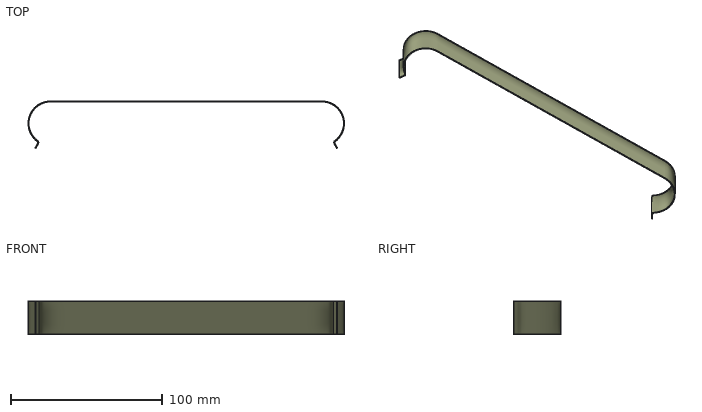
import cadquery as cq
import math

length = 209.5
depth = 31.5
height = 22.0

thickness = 0.6
end_radius = 14.9
curl_past_side = 54.0
lip_radius = 0.8
lip_angle = 30.0

curl_center = (end_radius - length / 2, -end_radius)


def polar(center, radius, degrees):
    """Point at a given radius and angle around a center."""
    angle = math.radians(degrees)
    return (center[0] + radius * math.cos(angle), center[1] + radius * math.sin(angle))


curl_end = 180 + curl_past_side
curl_middle = (90 + curl_end) / 2
lip_center = polar(curl_center, end_radius + lip_radius, curl_end)

bend_start = curl_past_side
bend_end = -lip_angle
bend_middle = (bend_start + bend_end) / 2

inner_bend_radius = lip_radius + thickness
inner_lip_start = polar(lip_center, inner_bend_radius, bend_end)
lip_length = (inner_lip_start[1] + depth) / math.cos(math.radians(lip_angle))
lip_direction = bend_end - 90


def left_half():
    """Half of the strip, from the middle of the straight back to the left lip."""
    inner_radius = end_radius - thickness
    outer_lip_start = polar(lip_center, lip_radius, bend_end)
    profile = (
        cq.Workplane("XY")
        .moveTo(0, 0)
        .lineTo(curl_center[0], 0)
        .threePointArc(
            polar(curl_center, end_radius, curl_middle),
            polar(curl_center, end_radius, curl_end),
        )
        .threePointArc(polar(lip_center, lip_radius, bend_middle), outer_lip_start)
        .lineTo(*polar(outer_lip_start, lip_length, lip_direction))
        .lineTo(*polar(inner_lip_start, lip_length, lip_direction))
        .lineTo(*inner_lip_start)
        .threePointArc(
            polar(lip_center, inner_bend_radius, bend_middle),
            polar(curl_center, inner_radius, curl_end),
        )
        .threePointArc(
            polar(curl_center, inner_radius, curl_middle),
            (curl_center[0], -thickness),
        )
        .lineTo(0, -thickness)
        .close()
    )
    return profile.extrude(height)


half = left_half()
result = half.union(half.mirror("YZ")).clean()